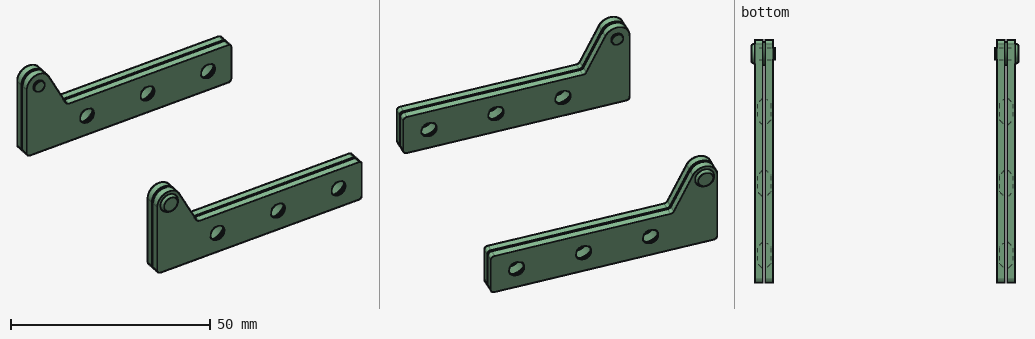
import cadquery as cq
import math

overall_width = 67.0

plate_length = 61.0
plate_height = 24.0
plate_thickness = 2.0
arm_height = 11.5
ear_radius = 3.5
ear_root = 12.0
corner_radius = 1.0

hole_diameter = 4.15
hole_spacing = 18.0
hole_count = 3
hole_end_distance = 7.0
sink_depth = 1.4
sink_diameter = hole_diameter + 2 * sink_depth

washer_diameter = 5.9
washer_thickness = 0.55
pin_diameter = 3.1
pin_tip_length = 0.55
head_diameter = 5.1
head_thickness = 0.9
head_face_diameter = 4.0

head_outer_x = overall_width / 2
outer_plate_outside = head_outer_x - head_thickness
outer_plate_inside = outer_plate_outside - plate_thickness
inner_plate_outside = outer_plate_inside - washer_thickness
inner_plate_inside = inner_plate_outside - plate_thickness
pin_tip_x = inner_plate_inside - pin_tip_length

pin_y = ear_radius
pin_z = plate_height - ear_radius


def disc(diameter, x_start, x_end):
    """Cylinder along X on the pin axis."""
    base = cq.Workplane("YZ", origin=(x_start, pin_y, pin_z))
    return base.circle(diameter / 2).extrude(x_end - x_start)


def screw_hole(y, z, x_start, sink_on_far_face):
    """Cutter for a through hole with a countersink on one face of a plate."""
    hole_radius = hole_diameter / 2
    sink_radius = sink_diameter / 2
    cutter = (
        cq.Workplane("XY")
        .lineTo(hole_radius, 0)
        .lineTo(hole_radius, plate_thickness - sink_depth)
        .lineTo(sink_radius, plate_thickness)
        .lineTo(0, plate_thickness)
        .close()
        .revolve(360, (0, 0), (0, 1))
    )
    if sink_on_far_face:
        return cutter.rotate((0, 0, 0), (0, 0, 1), -90).translate((x_start, y, z))
    return cutter.rotate((0, 0, 0), (0, 0, 1), 90).translate((x_start + plate_thickness, y, z))


def plate(x_start, sink_on_far_face):
    """L-shaped plate with a round ear, countersunk mounting holes and a pin hole."""
    foot_dy = ear_root - pin_y
    foot_dz = arm_height - pin_z
    foot_distance = math.hypot(foot_dy, foot_dz)
    tangent_angle = math.atan2(foot_dz, foot_dy) + math.acos(ear_radius / foot_distance)
    tangent_y = pin_y + ear_radius * math.cos(tangent_angle)
    tangent_z = pin_z + ear_radius * math.sin(tangent_angle)

    body = (
        cq.Workplane("YZ", origin=(x_start, 0, 0))
        .moveTo(0, 0)
        .lineTo(plate_length, 0)
        .lineTo(plate_length, arm_height)
        .lineTo(ear_root, arm_height)
        .lineTo(tangent_y, tangent_z)
        .threePointArc((pin_y, plate_height), (0, pin_z))
        .close()
        .extrude(plate_thickness)
    )

    corners = [(0, 0), (plate_length, 0), (plate_length, arm_height), (ear_root, arm_height)]
    for y, z in corners:
        corner = cq.selectors.NearestToPointSelector((x_start + plate_thickness / 2, y, z))
        body = body.edges("|X").edges(corner).fillet(corner_radius)

    hole_centers = [
        (plate_length - hole_end_distance - i * hole_spacing, arm_height / 2)
        for i in range(hole_count)
    ]
    for y, z in hole_centers:
        body = body.cut(screw_hole(y, z, x_start, sink_on_far_face))
    pin_hole = disc(pin_diameter, x_start, x_start + plate_thickness)
    return body.cut(pin_hole)


def washer():
    """Spacer ring between the two plates of a hinge."""
    ring = disc(washer_diameter, inner_plate_outside, outer_plate_inside)
    return ring.cut(disc(pin_diameter, inner_plate_outside, outer_plate_inside))


def pin():
    """Pin with a domed head on the outside and a short tip on the inside."""
    rim_radius = head_diameter / 2
    face_radius = head_face_diameter / 2
    drop = rim_radius - face_radius
    arc_radius = (head_thickness**2 + drop**2) / (2 * drop)
    half_sweep = math.asin(head_thickness / arc_radius) / 2
    arc_middle = (
        rim_radius - arc_radius * (1 - math.cos(half_sweep)),
        arc_radius * math.sin(half_sweep),
    )
    head = (
        cq.Workplane("XY")
        .lineTo(rim_radius, 0)
        .threePointArc(arc_middle, (face_radius, head_thickness))
        .lineTo(0, head_thickness)
        .close()
        .revolve(360, (0, 0), (0, 1))
        .rotate((0, 0, 0), (0, 0, 1), -90)
        .translate((outer_plate_outside, pin_y, pin_z))
    )
    return head.union(disc(pin_diameter, pin_tip_x, outer_plate_outside))


right_hinge = [plate(outer_plate_inside, False), plate(inner_plate_inside, True), washer(), pin()]
left_hinge = [body.mirror("YZ") for body in right_hinge]

result = cq.Compound.makeCompound([body.val() for body in right_hinge + left_hinge])